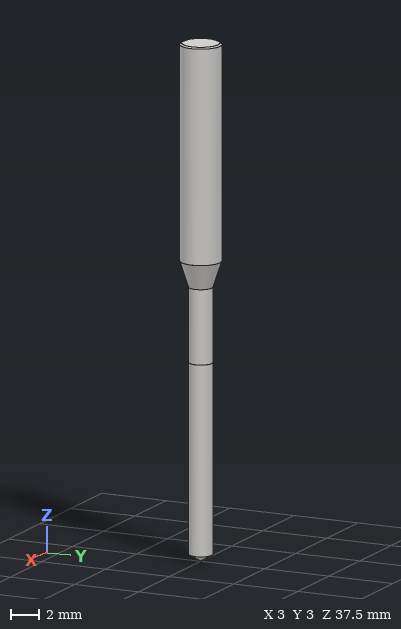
import cadquery as cq
import math

overall_length = 37.5
shank_diameter = 3.0
shank_chamfer_width = 0.15
shank_chamfer_height = 0.1
taper_top_z = 21.75
taper_bottom_z = 19.85

neck_diameter = 1.75
cutter_length = 14.4

point_angle = 118.0

shank_radius = shank_diameter / 2
neck_radius = neck_diameter / 2
point_height = neck_radius / math.tan(math.radians(point_angle / 2))


def revolve_about_z(profile):
    """Revolve a closed (radius, z) outline a full turn about the Z axis."""
    return cq.Workplane("XZ").polyline(profile).close().revolve(360, (0, 0, 0), (0, 1, 0))


def make_shank():
    """Cylindrical shank with a chamfered top and a taper down to the neck."""
    return revolve_about_z([
        (0, cutter_length),
        (neck_radius, cutter_length),
        (neck_radius, taper_bottom_z),
        (shank_radius, taper_top_z),
        (shank_radius, overall_length - shank_chamfer_height),
        (shank_radius - shank_chamfer_width, overall_length),
        (0, overall_length),
    ])


def make_cutter():
    """Straight cylindrical cutter ending in a conical point."""
    return revolve_about_z([
        (0, 0),
        (neck_radius, point_height),
        (neck_radius, cutter_length),
        (0, cutter_length),
    ])


shank = make_shank()
cutter = make_cutter()

result = cq.Compound.makeCompound([shank.val(), cutter.val()])